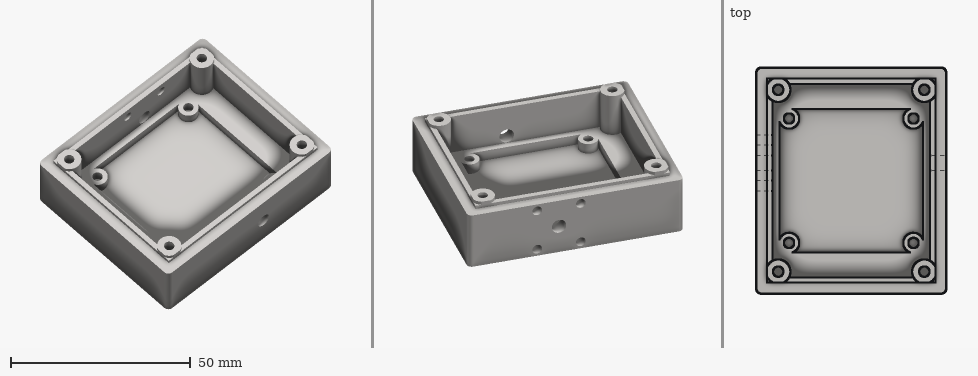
import cadquery as cq

body_x = 53.0
body_y = 63
body_top = 17.0
corner_radius = 1.5

lip_x = 47.0
lip_y = 56.8
lip_thickness = 1.5
lip_top = 18.0

cavity_x = lip_x - 2 * lip_thickness
cavity_y = lip_y - 2 * lip_thickness
cavity_floor = 6.2
pocket_side = 39.95
pocket_floor = 3.0

screw_hole_diameter = 2.9
post_radius = 3.4
post_x = 20.35
post_y = 25.3
post_top = 19.0

standoff_radius = 2.85
standoff_offset = 17.3

connector_y = 5.0
connector_z = 8.5
connector_diameter = 4.2
connector_screw_diameter = 2.85
connector_screw_pitch = 12.7
connector_screw_depth = (body_x - cavity_x) / 2


def block(size_x, size_y, bottom, top):
    """Centred rectangular block between two heights."""
    return cq.Workplane("XY").workplane(offset=bottom).rect(size_x, size_y).extrude(top - bottom)


def corner_cylinders(x, y, radius, bottom, top):
    """Four upright cylinders at (+-x, +-y)."""
    return (
        cq.Workplane("XY").workplane(offset=bottom)
        .rect(2 * x, 2 * y, forConstruction=True).vertices()
        .circle(radius).extrude(top - bottom)
    )


def housing():
    """Open box with its lip, cavity and floor pocket."""
    body = block(body_x, body_y, 0, body_top).edges("|Z").fillet(corner_radius)
    lip = block(lip_x, lip_y, body_top, lip_top)
    cavity = block(cavity_x, cavity_y, cavity_floor, lip_top)
    pocket = block(pocket_side, pocket_side, pocket_floor, cavity_floor)
    return body.union(lip).cut(cavity).cut(pocket)


def posts():
    """Lid screw posts, trimmed to the outline of the lip."""
    cylinders = corner_cylinders(post_x, post_y, post_radius, cavity_floor, post_top)
    return cylinders.intersect(block(lip_x, lip_y, cavity_floor, post_top))


def standoffs():
    """Board standoffs rising from the pocket floor."""
    return corner_cylinders(standoff_offset, standoff_offset, standoff_radius, pocket_floor, cavity_floor)


def corner_fillers():
    """Square blocks filling the pocket corners behind the standoffs."""
    side = pocket_side / 2 - standoff_offset
    centre = standoff_offset + side / 2
    return (
        cq.Workplane("XY").workplane(offset=pocket_floor)
        .rect(2 * centre, 2 * centre, forConstruction=True).vertices()
        .rect(side, side).extrude(cavity_floor - pocket_floor)
    )


def screw_holes():
    """Blind holes down the posts to the cavity floor and down the standoffs to the pocket floor."""
    hole_radius = screw_hole_diameter / 2
    post_holes = corner_cylinders(post_x, post_y, hole_radius, cavity_floor, post_top)
    standoff_holes = corner_cylinders(
        standoff_offset, standoff_offset, hole_radius, pocket_floor, cavity_floor
    )
    return post_holes.union(standoff_holes)


def connector_holes():
    """Bore through both side walls, with four screw holes around it as deep as the -X wall is thick."""
    face = cq.Workplane("YZ", origin=(-body_x / 2, connector_y, connector_z))
    bore = face.circle(connector_diameter / 2).extrude(body_x)
    screws = (
        face.rect(connector_screw_pitch, connector_screw_pitch, forConstruction=True).vertices()
        .circle(connector_screw_diameter / 2).extrude(connector_screw_depth)
    )
    return bore.union(screws)


result = (
    housing().union(posts()).union(standoffs()).union(corner_fillers())
    .cut(screw_holes()).cut(connector_holes())
)